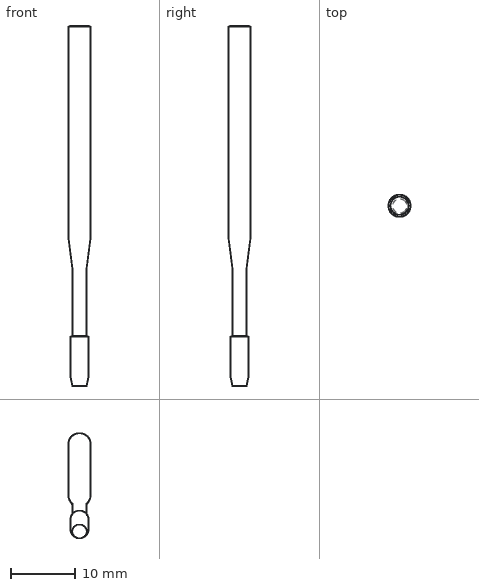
import cadquery as cq

total_length = 56.0
shank_diameter = 3.5
neck_diameter = 2.2
head_diameter = 2.85
tip_diameter = 2.25

tip_taper_height = 1.5
head_height = 7.85
neck_top = 18.05
shank_cone_top = 23.0

end_bevel_height = 0.2
end_bevel_width = 0.35

shoulder_bevel_height = 0.2

shank_radius = shank_diameter / 2
neck_radius = neck_diameter / 2
head_radius = head_diameter / 2
tip_radius = tip_diameter / 2


def turned(profile):
    """Revolve a closed (radius, height) profile about the Z axis."""
    return cq.Workplane("XZ").polyline(profile).close().revolve(360, (0, 0), (0, 1))


def make_shank():
    """Shank with its slender neck, joined by a cone and bevelled at the top."""
    return turned([
        (0, head_height),
        (neck_radius, head_height),
        (neck_radius, neck_top),
        (shank_radius, shank_cone_top),
        (shank_radius, total_length - end_bevel_height),
        (shank_radius - end_bevel_width, total_length),
        (0, total_length),
    ])


def make_head():
    """Head with a tapered tip and a bevelled shoulder, meeting the neck's flat end."""
    return turned([
        (0, 0),
        (tip_radius, 0),
        (head_radius, tip_taper_height),
        (head_radius, head_height - shoulder_bevel_height),
        (neck_radius, head_height),
        (0, head_height),
    ])


shank = make_shank()
head = make_head()

result = cq.Compound.makeCompound([shank.val(), head.val()])